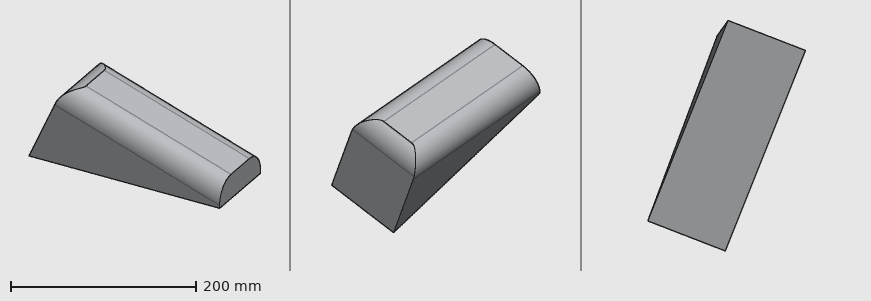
import cadquery as cq
import math

length = 237.0
width = 90.0
height = 90.0
round_radius = 25.0
back_angle = math.radians(66)
low_end_height = 30.0
crest_flat = 0.7

crest_z = height - round_radius
crest_x = crest_z / math.tan(back_angle) + round_radius / math.sin(back_angle)

slope_start_x = crest_x + crest_flat
slope_angle = math.atan2(height - low_end_height, length - slope_start_x)


def crest_point(direction):
    """Point on the crest rounding in a given direction from its centre."""
    return (
        crest_x + round_radius * math.cos(direction),
        crest_z + round_radius * math.sin(direction),
    )


back_normal = math.pi / 2 + back_angle
arc_middle = (math.pi / 2 + back_normal) / 2
wedge = (
    cq.Workplane("XZ")
    .moveTo(0, 0)
    .lineTo(length, 0)
    .lineTo(length, low_end_height)
    .lineTo(slope_start_x, height)
    .lineTo(crest_x, height)
    .threePointArc(crest_point(arc_middle), crest_point(back_normal))
    .close()
    .extrude(width / 2, both=True)
)

bar_length = 3 * length
bar_depth = 2 * length
sloped_bar = (
    cq.Workplane("XY")
    .box(bar_length, width, bar_depth)
    .edges("|X and >Z")
    .fillet(round_radius)
    .translate((0, 0, -bar_depth / 2))
    .rotate((0, 0, 0), (0, 1, 0), math.degrees(slope_angle))
    .translate((length, 0, low_end_height))
)

result = wedge.intersect(sloped_bar)